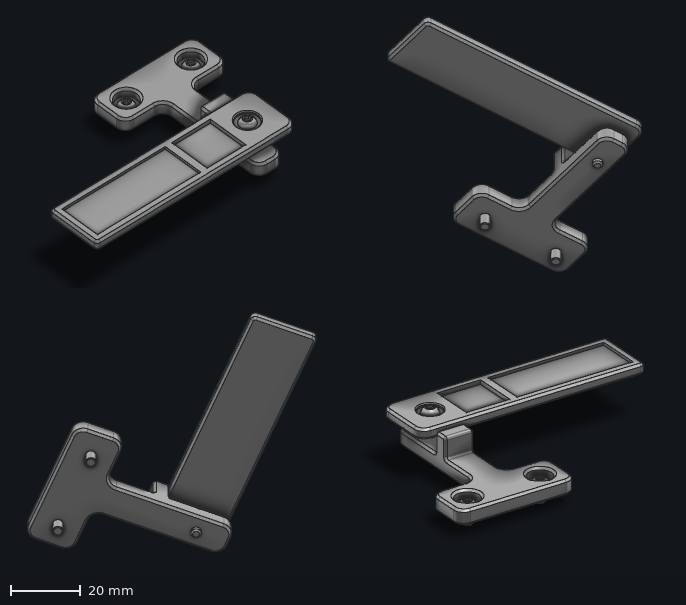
import cadquery as cq
import math

overall_length = 87.5
base_reach = 55.0
plate_width = 15.0
plate_length = 40.0
base_thickness = 5.0
arm_width = 10.0
corner_radius = 3.5
edge_chamfer = 0.75

lever_width = 20.0
lever_thickness = 3.5
lever_gap = 5.0
lever_tip_radius = 1.5
pivot_x = base_reach - lever_width / 2
lever_left = base_reach - lever_width
lever_end_y = lever_width / 2
lever_tip_y = plate_length / 2 - overall_length
lever_bottom = base_thickness + lever_gap
lever_top = lever_bottom + lever_thickness

pocket_margin = 2.5
pocket_width = lever_width - 2 * pocket_margin
long_pocket_length = 40.0
long_pocket_depth = 1.0
short_pocket_length = 15.0
short_pocket_depth = 1.5

stop_width = 5.0
stop_height = 7.0
stop_top_radius = 1.0
stop_toe_radius = 0.75
stop_x = lever_left - stop_width / 2

shank_diameter = 3.0
head_diameter = 5.7
head_top_diameter = 3.0
head_height = 1.7
socket_flats = 2.0
socket_depth = 1.05
plate_screw_length = 5.95
plate_screw_tip_chamfer = 0.3
pivot_screw_length = 14.0
pivot_screw_tip_chamfer = 0.5

counterbore_diameter = 8.0
plate_seat_height = 2.0
plate_rim_chamfer = 0.75
lever_seat_depth = 1.0
lever_rim_chamfer = 0.35
pivot_seat_height = lever_top - lever_seat_depth
plate_screw_x = plate_width / 2
plate_screw_spacing = 25.0
plate_screw_places = [(plate_screw_x, side * plate_screw_spacing / 2) for side in (-1, 1)]


def cylinder(x, y, diameter, bottom, top):
    """Upright cylinder between two heights."""
    return cq.Workplane("XY", origin=(x, y, bottom)).circle(diameter / 2).extrude(top - bottom)


def screw_seat(x, y, seat, top, rim_chamfer):
    """Cutter for a counterbore with a bevelled rim, open at the top face."""
    radius = counterbore_diameter / 2
    profile = [
        (0, seat),
        (radius, seat),
        (radius, top - rim_chamfer),
        (radius + rim_chamfer, top),
        (0, top),
    ]
    section = cq.Workplane("XZ").polyline(profile).close()
    return section.revolve(360, (0, 0), (0, 1)).translate((x, y, 0))


def base_blank():
    """T-shaped slab carrying the stop block, with rounded and bevelled edges."""
    plate = cq.Workplane("XY").box(plate_width, plate_length, base_thickness, centered=(False, True, False))
    arm = cq.Workplane("XY").box(base_reach, arm_width, base_thickness, centered=(False, True, False))
    slab = plate.union(arm).edges("|Z").fillet(corner_radius)
    stop = (
        cq.Workplane("XY", origin=(stop_x, 0, 0))
        .box(stop_width, arm_width, base_thickness + stop_height, centered=(True, True, False))
    )
    blank = slab.union(stop)
    toe_edges = cq.selectors.BoxSelector(
        (stop_x - stop_width, -arm_width, base_thickness - stop_toe_radius),
        (stop_x + stop_width, arm_width, base_thickness + stop_toe_radius),
    )
    blank = blank.edges("|Y").edges(toe_edges).fillet(stop_toe_radius)
    blank = blank.faces(">Z").edges("|Y").fillet(stop_top_radius)
    blank = blank.faces("<Z").edges().chamfer(edge_chamfer)
    return blank.faces("+Z").faces("<Z").edges("<X").chamfer(edge_chamfer)


def make_base():
    """Base with two counterbored fixing holes and the pivot screw's hole."""
    base = base_blank()
    for x, y in plate_screw_places:
        base = base.cut(screw_seat(x, y, plate_seat_height, base_thickness, plate_rim_chamfer))
        base = base.cut(cylinder(x, y, shank_diameter, 0, base_thickness))
    return base.cut(cylinder(pivot_x, 0, shank_diameter, 0, base_thickness))


def pocket(start_y, length, depth):
    """Rectangular cutter sunk into the lever's top."""
    corner = (lever_left + pocket_margin, start_y, lever_top - depth)
    return cq.Workplane("XY", origin=corner).box(pocket_width, length, depth, centered=False)


def make_lever():
    """Flat lever with two pockets and a counterbored pivot hole."""
    lever = (
        cq.Workplane("XY", origin=(lever_left, lever_tip_y, lever_bottom))
        .box(lever_width, lever_end_y - lever_tip_y, lever_thickness, centered=False)
    )
    lever = lever.edges("|Z and >Y").fillet(corner_radius)
    lever = lever.edges("|Z and <Y").fillet(lever_tip_radius)
    lever = lever.faces("<Z or >Z").edges().chamfer(edge_chamfer)

    long_pocket_y = lever_tip_y + pocket_margin
    short_pocket_y = long_pocket_y + long_pocket_length + pocket_margin
    lever = lever.cut(pocket(long_pocket_y, long_pocket_length, long_pocket_depth))
    lever = lever.cut(pocket(short_pocket_y, short_pocket_length, short_pocket_depth))

    lever = lever.cut(screw_seat(pivot_x, 0, pivot_seat_height, lever_top, lever_rim_chamfer))
    return lever.cut(cylinder(pivot_x, 0, shank_diameter, lever_bottom, lever_top))


def make_screw(x, y, seat, length, tip_chamfer):
    """Button-head screw with a hexagon socket; the head rests at the seat height."""
    shank_radius = shank_diameter / 2
    head_radius = head_diameter / 2
    top_radius = head_top_diameter / 2
    centre_drop = (head_radius**2 - top_radius**2 - head_height**2) / (2 * head_height)
    dome_radius = math.hypot(head_radius, centre_drop)
    mid_radius = (head_radius + top_radius) / 2
    mid_height = math.sqrt(dome_radius**2 - mid_radius**2) - centre_drop
    profile = (
        cq.Workplane("XZ")
        .moveTo(0, -length)
        .lineTo(shank_radius - tip_chamfer, -length)
        .lineTo(shank_radius, tip_chamfer - length)
        .lineTo(shank_radius, 0)
        .lineTo(head_radius, 0)
        .threePointArc((mid_radius, mid_height), (top_radius, head_height))
        .lineTo(0, head_height)
        .close()
    )
    socket_corners = socket_flats / math.cos(math.pi / 6)
    socket = (
        cq.Workplane("XY", origin=(0, 0, head_height - socket_depth))
        .polygon(6, socket_corners)
        .extrude(socket_depth)
    )
    return profile.revolve(360, (0, 0), (0, 1)).cut(socket).translate((x, y, seat))


base = make_base()
lever = make_lever()
pivot_screw = make_screw(pivot_x, 0, pivot_seat_height, pivot_screw_length, pivot_screw_tip_chamfer)
plate_screws = [
    make_screw(x, y, plate_seat_height, plate_screw_length, plate_screw_tip_chamfer)
    for x, y in plate_screw_places
]

result = cq.Compound.makeCompound(
    [base.val(), lever.val(), pivot_screw.val(), *[screw.val() for screw in plate_screws]]
)